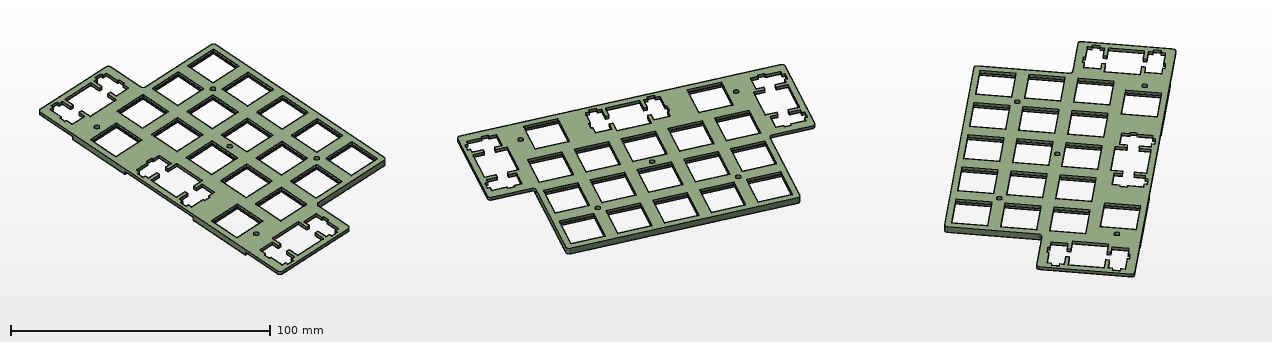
import cadquery as cq

length = 133.4
units_wide = 7
units_deep = 4
unit = length / units_wide
depth = units_deep * unit
total_height = 3.0
plate_thickness = 1.5
pad_height = total_height - plate_thickness

back_width = 5 * unit
corner_radius = 1.3

relief_width = 37.5
relief_depth = unit

switch_size = 14.0
switch_clearance = 0.47
switch_columns = [-2, -1, 0, 1, 2]
switch_rows = [-0.5, 0.5, 1.5]
front_row = -1.5
outer_switch_column = 1.75
side_key_column = 3
side_key_row = -1

stab_offset = 11.9
stab_width = 6.7
stab_back = 5.5
stab_front = 6.8
stab_tab_width = 3.1
stab_tab_front = 8.0
end_notch_depth = 0.8
end_notch_back = 2.3
end_notch_front = 0.5
wire_slot_width = 4.5

screw_diameter = 2.1
back_screw_column = 1.5
front_screw_x = 43.9


def block(x_min, x_max, y_min, y_max, z_min=0, z_max=total_height):
    """Box given by its limits on each axis."""
    size = (x_max - x_min, y_max - y_min, z_max - z_min)
    return cq.Workplane("XY").box(*size, centered=False).translate((x_min, y_min, z_min))


def make_plate():
    """Stepped plate with rounded corners, level with the top."""
    front = block(-length / 2, length / 2, -depth / 2, 0, pad_height)
    back = block(-back_width / 2, back_width / 2, -depth / 2, depth / 2, pad_height)
    return front.union(back).edges("|Z").fillet(corner_radius)


def make_pad():
    """Thickening layer below the plate, cut away under the space bar."""
    pad = block(-back_width / 2, back_width / 2, -depth / 2, depth / 2, 0, pad_height)
    pad = pad.edges("|Z and >Y").fillet(corner_radius)
    relief_back = -depth / 2 + relief_depth
    relief = block(-relief_width / 2, relief_width / 2, -depth / 2, relief_back, 0, pad_height)
    return pad.cut(relief)


def make_switch_opening():
    """Square hole, widened below the plate so that the switch clips can catch."""
    half = switch_size / 2
    wide = half + switch_clearance
    clip_space = block(-wide, wide, -wide, wide, 0, pad_height)
    return block(-half, half, -half, half).union(clip_space)


def make_stabilized_opening():
    """Switch opening joined to a stabilizer opening on each side."""
    inner = stab_offset - stab_width / 2
    outer = stab_offset + stab_width / 2
    tab_inner = stab_offset - stab_tab_width / 2
    tab_outer = stab_offset + stab_tab_width / 2
    housing = block(inner, outer, -stab_front, stab_back)
    tab = block(tab_inner, tab_outer, -stab_tab_front, 0)
    end_notch = block(stab_offset, outer + end_notch_depth, -end_notch_front, end_notch_back)
    wire_slot = block(0, stab_offset, -wire_slot_width / 2, wire_slot_width / 2)
    side = housing.union(tab).union(end_notch).union(wire_slot)
    return make_switch_opening().union(side).union(side.mirror("YZ"))


def at_units(shape, column, row):
    """Move a shape to a place given in key units."""
    return shape.translate((column * unit, row * unit, 0))


result = make_plate().union(make_pad())

switch_places = [(column, row) for column in switch_columns for row in switch_rows]
switch_places += [(side * outer_switch_column, front_row) for side in (-1, 1)]
for column, row in switch_places:
    result = result.cut(at_units(make_switch_opening(), column, row))

stabilized_places = [
    (0, front_row, 0),
    (-side_key_column, side_key_row, -90),
    (side_key_column, side_key_row, 90),
]
for column, row, angle in stabilized_places:
    opening = make_stabilized_opening().rotate((0, 0, 0), (0, 0, 1), angle)
    result = result.cut(at_units(opening, column, row))

screw_points = [(0, 0)]
for side in (-1, 1):
    screw_points.append((side * back_screw_column * unit, unit))
    screw_points.append((side * front_screw_x, front_row * unit))
screws = cq.Workplane("XY").pushPoints(screw_points).circle(screw_diameter / 2).extrude(total_height)
result = result.cut(screws)